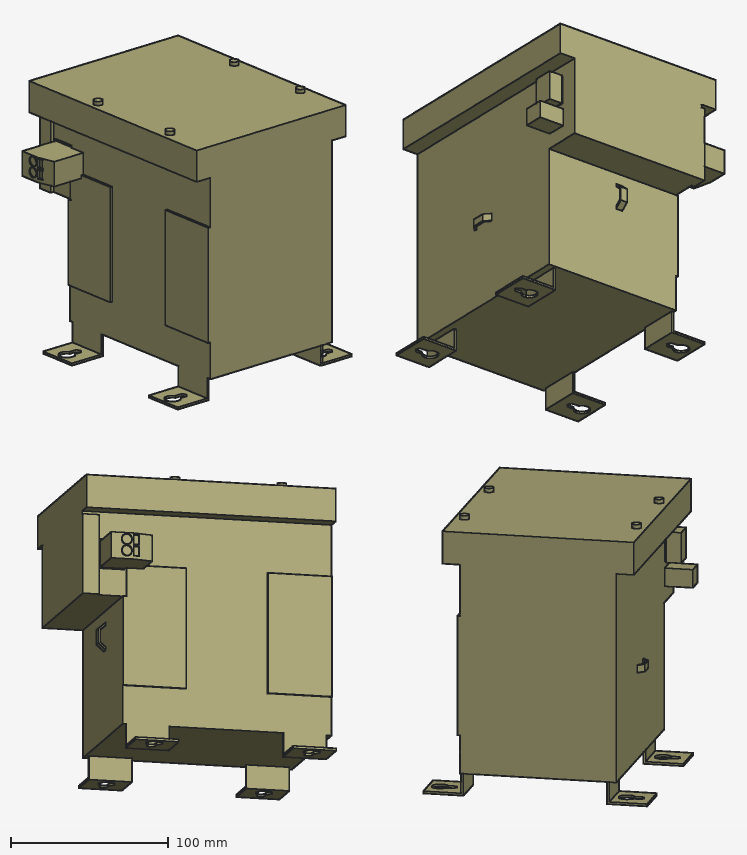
import cadquery as cq
import math


lid_width = 163.0
lid_depth = 124.4
lid_top = 173.3
lid_bottom = 152.0
body_depth = 101.7
body_front = -body_depth / 2
body_back = body_depth / 2
body_bottom = 15.3
lower_left = 26.5
overhang_bottom = 98.2

panel_bottom = 40.3
panel_top = 118.4
panel_thickness = 1.5
left_panel_right = 67.5
right_panel_left = 121.2
notch_right = 28.8
strip_width = 10.5
strip_top = 149.7
strip_thickness = 2.3

screw_top = 175.9
screw_radius = 3.0
screw_offset = 55.5
front_screws_x = (59.5, 129.3)
back_screws_x = (62.3, 126.5)

foot_width = 28.1
foot_centers_x = (43.0, 145.8)
foot_thickness = 1.5
foot_length = 26.0
back_web_y = 45.5
keyhole_radius = 5.3
keyhole_slot_radius = 2.6
keyhole_pitch = 8.5
keyhole_edge_distance = 7.7

terminal_left = 12.0
terminal_right = 39.5
terminal_bottom = 116.3
terminal_top = 133.2
terminal_front = -78.3
slope_start = 26.5
slope_drop = 3.2
wire_ports_x = 22.3
wire_ports_z = (121.7, 129.1)
wire_port_radius = 3.3
wire_port_depth = 0.7
lever_left = 27.0
lever_right = 30.6
lever_height = 6.2
lever_floor = 2.1
socket_right = 27.6
socket_bottom = 115.5
socket_top = 134.5
socket_depth = 0.7

connector_left = 12.0
connector_right = 25.9
upper_connector_z = (124.4, 144.5)
upper_connector_length = 10.7
lower_connector_z = (108.7, 120.7)
lower_connector_length = 18.3
connector_neck = 0.9
connector_neck_inset = 0.5

clip_length = 18.0
clip_flat = 9.5
clip_width = 5.0
clip_thickness = 1.4
left_clip_height = 5.0
left_clip_y = -5.3
left_clip_z = 81.6
back_clip_height = 4.0
back_clip_z = 74.4


def block(x_range, y_range, z_range):
    """Box spanning the given ranges, whose ends may come in any order."""
    x0, x1 = sorted(x_range)
    y0, y1 = sorted(y_range)
    z0, z1 = sorted(z_range)
    return cq.Workplane("XY").box(x1 - x0, y1 - y0, z1 - z0, centered=False).translate((x0, y0, z0))


def make_housing():
    lid = block((0, lid_width), (-lid_depth / 2, lid_depth / 2), (lid_bottom, lid_top))
    upper = block((0, lid_width), (body_front, body_back), (overhang_bottom, lid_bottom))
    lower = block((lower_left, lid_width), (body_front, body_back), (body_bottom, overhang_bottom))
    return lid.union(upper).union(lower)


def make_front_panels():
    panel_y = (body_front - panel_thickness, body_front)
    panel_z = (panel_bottom, panel_top)
    left = block((lower_left, left_panel_right), panel_y, panel_z)
    left = left.cut(block((lower_left, notch_right), panel_y, (overhang_bottom, panel_top)))
    right = block((right_panel_left, lid_width), panel_y, panel_z)
    strip = block((0, strip_width), (body_front - strip_thickness, body_front), (overhang_bottom, strip_top))
    return left.union(right).union(strip)


def make_screws():
    centers = [(x, -screw_offset) for x in front_screws_x]
    centers += [(x, screw_offset) for x in back_screws_x]
    return (
        cq.Workplane("XY").workplane(offset=lid_top)
        .pushPoints(centers).circle(screw_radius).extrude(screw_top - lid_top)
    )


def make_foot(center_x, web_y, outward):
    """L-shaped foot whose web has its outer face at web_y; outward is -1 (front) or 1 (back)."""
    x_range = (center_x - foot_width / 2, center_x + foot_width / 2)
    inner_y = web_y - outward * foot_thickness
    tip_y = inner_y + outward * foot_length
    web = block(x_range, (inner_y, web_y), (0, body_bottom))
    base = block(x_range, (inner_y, tip_y), (0, foot_thickness))

    if outward < 0:
        hole_y = tip_y + keyhole_edge_distance
    else:
        hole_y = tip_y - keyhole_edge_distance - keyhole_pitch
    slot_y = hole_y + keyhole_pitch
    slot_x = (center_x - keyhole_slot_radius, center_x + keyhole_slot_radius)
    keyhole = (
        cq.Workplane("XY").center(center_x, hole_y).circle(keyhole_radius).extrude(foot_thickness)
        .union(cq.Workplane("XY").center(center_x, slot_y).circle(keyhole_slot_radius).extrude(foot_thickness))
        .union(block(slot_x, (hole_y, slot_y), (0, foot_thickness)))
    )
    return web.union(base).cut(keyhole)


def make_terminal():
    terminal = (
        cq.Workplane("XY").workplane(offset=terminal_bottom)
        .moveTo(terminal_left, body_front + socket_depth)
        .lineTo(terminal_left, terminal_front)
        .lineTo(slope_start, terminal_front)
        .lineTo(terminal_right, terminal_front + slope_drop)
        .lineTo(terminal_right, body_front + socket_depth)
        .close().extrude(terminal_top - terminal_bottom)
    )
    for port_z in wire_ports_z:
        port = (
            cq.Workplane("XZ", origin=(wire_ports_x, terminal_front, port_z))
            .circle(wire_port_radius).extrude(-wire_port_depth)
        )
        lever = block(
            (lever_left, lever_right),
            (terminal_front, terminal_front + lever_floor),
            (port_z - lever_height / 2, port_z + lever_height / 2),
        )
        terminal = terminal.cut(port).cut(lever)
    return terminal


def make_back_connectors():
    x_range = (connector_left, connector_right)
    neck_end = body_back + connector_neck
    upper_bottom, upper_top = upper_connector_z
    upper = block(x_range, (neck_end, body_back + upper_connector_length), upper_connector_z)
    neck = block(
        (connector_left + connector_neck_inset, connector_right - connector_neck_inset),
        (body_back, neck_end),
        (upper_bottom + connector_neck_inset, upper_top - connector_neck_inset),
    )
    lower = block(x_range, (body_back, body_back + lower_connector_length), lower_connector_z)
    return upper.union(neck).union(lower)


def make_clip(height):
    """Bent strip bridging along X, standing on the XY plane and centred on the origin."""
    half_end = clip_length / 2
    half_flat = clip_flat / 2
    slope_angle = math.atan2(height, half_end - half_flat)
    inner_end = half_end - clip_thickness / math.sin(slope_angle)
    inner_flat = half_flat - clip_thickness * math.tan(slope_angle / 2)
    inner_height = height - clip_thickness
    return (
        cq.Workplane("XZ")
        .polyline([
            (-half_end, 0), (-half_flat, height), (half_flat, height), (half_end, 0),
            (inner_end, 0), (inner_flat, inner_height), (-inner_flat, inner_height), (-inner_end, 0),
        ])
        .close().extrude(clip_width / 2, both=True)
    )


result = make_housing().union(make_front_panels())
result = result.cut(
    block((terminal_left, socket_right), (body_front, body_front + socket_depth), (socket_bottom, socket_top))
)
result = result.union(make_terminal()).union(make_back_connectors()).union(make_screws())

for foot_x in foot_centers_x:
    result = result.union(make_foot(foot_x, body_front, -1))
    result = result.union(make_foot(foot_x, back_web_y, 1))

left_clip = make_clip(left_clip_height).rotate((0, 0, 0), (0, 1, 0), -90)
result = result.union(left_clip.translate((lower_left, left_clip_y, left_clip_z)))

back_clip = make_clip(back_clip_height).rotate((0, 0, 0), (1, 0, 0), -90)
result = result.union(back_clip.translate(((lower_left + lid_width) / 2, body_back, back_clip_z)))